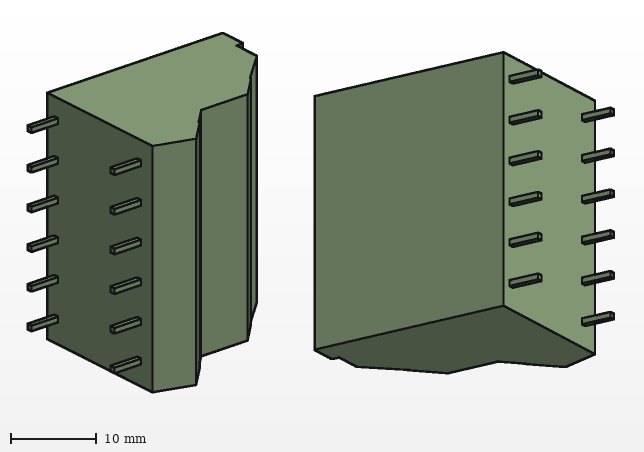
import cadquery as cq

height = 31.58
body_width = 21.0
body_depth = 26.5
base_width = 19.35

tip_y = 5.25
waist_low_y = 10.8
waist_high_y = 17.8
waist_x = 15.15
shelf_x = 7.52

upper_break_x = 11.75
upper_break_y = 20.97
upper_break_step = 0.15
lower_break_x = 17.43
lower_break_y = 8.55
lower_break_step = 0.2

lip_width = 3.8
lip_rise = 1.0
lip_edge_radius = 0.2
shelf_y = body_depth - lip_rise

pin_size = 0.73
pin_length = 4.0
pin_rows = 6
pin_columns = 2
row_pitch = 5.1
column_spacing = 3 * row_pitch
first_column_x = 1.65
first_row_z = 3.22


def make_body():
    """Stepped and sloped housing with rounded edges on its rear lip."""
    outline = [
        (0, 0),
        (base_width, 0),
        (body_width, tip_y),
        (lower_break_x, lower_break_y + lower_break_step),
        (lower_break_x, lower_break_y),
        (waist_x, waist_low_y),
        (waist_x, waist_high_y),
        (upper_break_x, upper_break_y + upper_break_step),
        (upper_break_x, upper_break_y),
        (shelf_x, shelf_y),
        (lip_width, shelf_y),
        (lip_width, body_depth),
        (0, body_depth),
    ]
    body = cq.Workplane("XY").polyline(outline).close().extrude(height)
    return body.faces(">Y").edges("|Z").fillet(lip_edge_radius)


def make_pins():
    """Grid of square pins projecting toward -Y from the pin face."""
    centers = [
        (first_column_x + column * column_spacing, first_row_z + row * row_pitch)
        for column in range(pin_columns)
        for row in range(pin_rows)
    ]
    return cq.Workplane("XZ").pushPoints(centers).rect(pin_size, pin_size).extrude(pin_length)


result = make_body().union(make_pins())